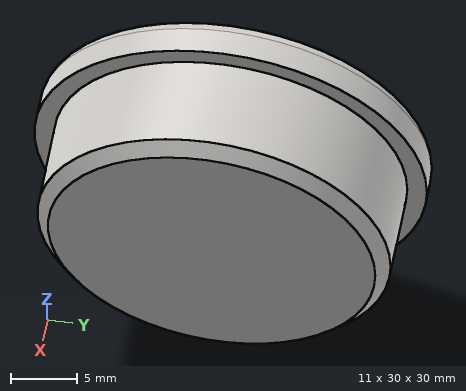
import cadquery as cq

flange_diameter = 30.0
flange_thickness = 3.0
plug_diameter = 27.0
total_length = 11.0
edge_size = 1.0

plug_length = total_length - flange_thickness

flange = (
    cq.Workplane("YZ")
    .circle(flange_diameter / 2)
    .extrude(flange_thickness)
    .faces("<X")
    .edges()
    .fillet(edge_size)
)

plug = (
    cq.Workplane("YZ")
    .workplane(offset=flange_thickness)
    .circle(plug_diameter / 2)
    .extrude(plug_length)
    .faces(">X")
    .edges()
    .chamfer(edge_size)
)

result = flange.union(plug)